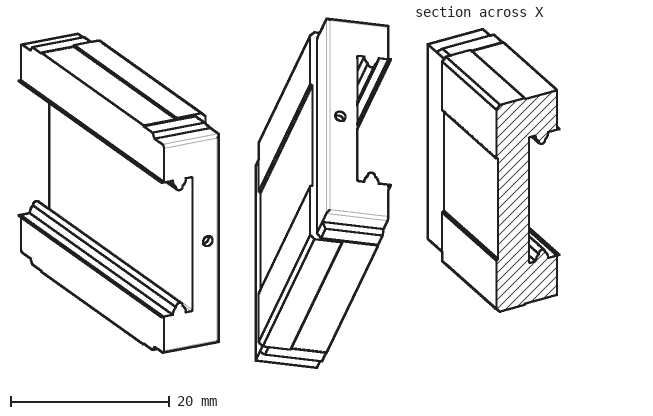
import cadquery as cq
import math

length = 39.1
thickness = 9.1
height = 30.0
front_y = 0.3

block_length = 28.0
block_corner_chamfer = 0.55
side_step_y = 5.0
side_step_depth = 0.15
side_step_run = 0.1
relief_half_height = 7.4
relief_depth = 0.27
relief_slope = 0.15

cap_back_y = 8.25
cap_top = height / 2 - 0.27
cap_step = 0.63
cap_bevel = 0.55
cap_end_length = 2.6
cap_end_radius = 0.4
port_y = 6.53
port_diameter = 1.33
port_depth = 1.0

channel_floor_y = 4.35
channel_half_height = 9.07
channel_radius = 0.2
lip_height = 0.08

ridge_y = 2.5
ridge_foot_half_width = 0.95
ridge_neck_half_width = 0.45
ridge_neck_rise = 0.95
ridge_rise = 1.45
ridge_root = 0.2


def extrude_along_x(profile, span):
    """Extrude a YZ profile symmetrically about X = 0."""
    return profile.extrude(span / 2, both=True)


def make_block():
    top = height / 2
    low_top = top - side_step_depth
    half = [
        (front_y, low_top),
        (side_step_y - side_step_run, low_top),
        (side_step_y, top),
        (thickness - block_corner_chamfer, top),
        (thickness, top - block_corner_chamfer),
        (thickness, relief_half_height),
        (thickness - relief_depth, relief_half_height - relief_slope),
    ]
    mirrored = [(y, -z) for y, z in reversed(half)]
    return extrude_along_x(cq.Workplane("YZ").polyline(half + mirrored).close(), block_length)


def make_caps():
    """One bar through the block whose two protruding ends are the end caps."""
    depth = cap_back_y - front_y
    end_top = cap_top - cap_step
    bar = cq.Workplane("XY").box(length, depth, 2 * end_top, centered=(True, False, True))
    bar = bar.translate((0, front_y, 0))
    bar = bar.faces("<X or >X").edges("not <Y").fillet(cap_end_radius)

    raised_half = length / 2 - cap_end_length
    for side in (1, -1):
        pad = (
            cq.Workplane("XZ", origin=(0, front_y, 0))
            .polyline([
                (-raised_half, side * end_top),
                (-raised_half + cap_bevel, side * cap_top),
                (raised_half - cap_bevel, side * cap_top),
                (raised_half, side * end_top),
            ])
            .close()
            .extrude(-depth)
        )
        bevel = extrude_along_x(
            cq.Workplane("YZ").polyline([
                (cap_back_y, side * end_top),
                (cap_back_y, side * cap_top),
                (cap_back_y - cap_bevel, side * cap_top),
            ]).close(),
            length,
        )
        bar = bar.union(pad.cut(bevel))
    return bar


def make_channel():
    channel = cq.Workplane("XY").box(
        length, channel_floor_y, 2 * channel_half_height, centered=(True, False, True)
    )
    return channel.edges("|X and >Y").fillet(channel_radius)


def make_lip():
    """Thin seal lip standing forward from the upper edge of the channel."""
    lip = cq.Workplane("XY").box(length, 2 * front_y, lip_height, centered=(True, False, False))
    return lip.translate((0, 0, channel_half_height))


def make_ridge():
    """Ball-track ridge hanging from the upper wall; each foot flank starts upright and curves in."""
    root_z = channel_half_height + ridge_root
    neck_z = channel_half_height - ridge_neck_rise
    tip_z = channel_half_height - ridge_rise
    foot_run = ridge_foot_half_width - ridge_neck_half_width
    foot_radius = (foot_run ** 2 + ridge_neck_rise ** 2) / (2 * foot_run)
    half_angle = math.asin(ridge_neck_rise / foot_radius) / 2
    bow_offset = ridge_foot_half_width - foot_radius * (1 - math.cos(half_angle))
    bow_z = channel_half_height - foot_radius * math.sin(half_angle)
    profile = (
        cq.Workplane("YZ", origin=(0, ridge_y, 0))
        .moveTo(-ridge_foot_half_width, root_z)
        .lineTo(ridge_foot_half_width, root_z)
        .lineTo(ridge_foot_half_width, channel_half_height)
        .threePointArc((bow_offset, bow_z), (ridge_neck_half_width, neck_z))
        .threePointArc((0, tip_z), (-ridge_neck_half_width, neck_z))
        .threePointArc((-bow_offset, bow_z), (-ridge_foot_half_width, channel_half_height))
        .close()
    )
    return extrude_along_x(profile, length)


def make_port(end):
    """Round lubrication port in one end face; end is -1 or 1."""
    start_x = end * length / 2
    port = cq.Workplane("YZ", origin=(start_x, 0, 0)).center(port_y, 0).circle(port_diameter / 2)
    return port.extrude(-end * port_depth)


body = make_block().union(make_caps()).cut(make_channel())
for wall_feature in (make_lip(), make_ridge()):
    body = body.union(wall_feature).union(wall_feature.mirror("XY"))
for end in (-1, 1):
    body = body.cut(make_port(end))

result = body